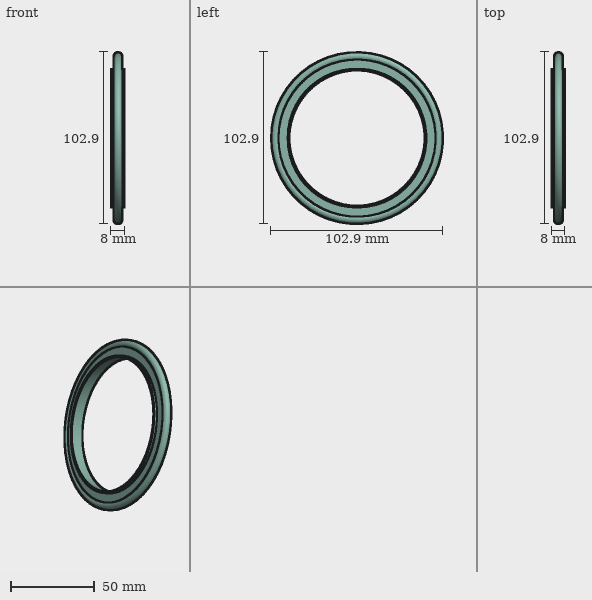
import cadquery as cq
import math

seal_outer_diameter = 102.9
cord_diameter = 5.3
flange_diameter = 94.0
hub_outer_diameter = 83.0
bore_diameter = 81.0
hub_length = 8.0

cord_radius = cord_diameter / 2
cord_centre_radius = seal_outer_diameter / 2 - cord_radius

rim_depth_in_cord = cord_centre_radius - flange_diameter / 2
flange_thickness = 2 * math.sqrt(cord_radius**2 - rim_depth_in_cord**2)


def make_disc(diameter, length):
    """Solid disc about the X axis, centred on the origin."""
    return cq.Workplane("YZ").circle(diameter / 2).extrude(length / 2, both=True)


def make_seal():
    """O-ring: a round cord swept about the X axis."""
    return (
        cq.Workplane("XY")
        .center(0, cord_centre_radius)
        .circle(cord_radius)
        .revolve(360, (0, -cord_centre_radius), (1, -cord_centre_radius))
    )


def make_centering_ring(seal):
    """Hub and flange in one piece, with a round rim groove that seats the seal."""
    hub = make_disc(hub_outer_diameter, hub_length)
    flange = make_disc(flange_diameter, flange_thickness)
    bore = make_disc(bore_diameter, hub_length)
    return hub.union(flange).cut(bore).cut(seal)


seal = make_seal()
centering_ring = make_centering_ring(seal)

result = cq.Compound.makeCompound([centering_ring.solids().val(), seal.val()])